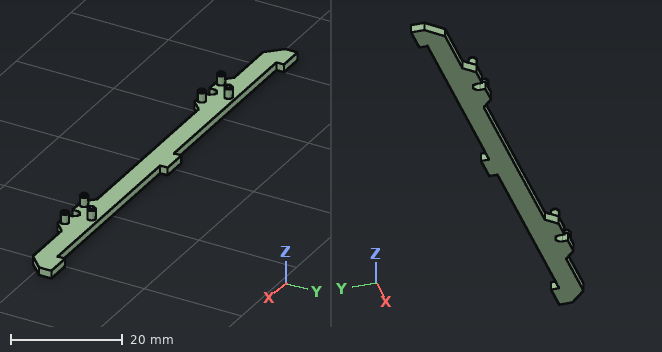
import cadquery as cq
import math

rail_length = 90.0
bar_width = 4.0
plate_thickness = 1.6
end_chamfer = 3.0

tab_length = 5.0
tab_depth = 1.5

foot_offset = 25.0
foot_tip_length = 9.0
foot_depth = 2.0
foot_root_length = foot_tip_length + 2 * foot_depth
notch_width = 2.0
notch_depth = foot_depth

pin_diameter = 1.5
shank_height = 1.9
neck_diameter = 1.0
neck_height = 0.29
dome_height = 0.25
pin_spacing = 3.5
front_pin_inset = 1.0

foot_front = 0.0
bar_front = foot_front + foot_depth
bar_back = bar_front + bar_width
tab_back = bar_back + tab_depth
front_pin_y = foot_front + front_pin_inset
back_pin_y = front_pin_y + pin_spacing


def make_bar():
    """Full-length bar with its two front corners cut at 45 degrees."""
    half_length = rail_length / 2
    outline = [
        (-half_length, bar_back),
        (-half_length, bar_front + end_chamfer),
        (-half_length + end_chamfer, bar_front),
        (half_length - end_chamfer, bar_front),
        (half_length, bar_front + end_chamfer),
        (half_length, bar_back),
    ]
    return cq.Workplane("XY").polyline(outline).close().extrude(plate_thickness)


def make_tab(center_x):
    """Rectangular tab rising from the back edge of the bar."""
    return (
        cq.Workplane("XY")
        .center(center_x, (bar_back + tab_back) / 2)
        .rect(tab_length, tab_depth)
        .extrude(plate_thickness)
    )


def make_foot(center_x):
    """Tapered foot reaching forward from the front edge of the bar."""
    outline = [
        (center_x - foot_root_length / 2, bar_front),
        (center_x - foot_tip_length / 2, foot_front),
        (center_x + foot_tip_length / 2, foot_front),
        (center_x + foot_root_length / 2, bar_front),
    ]
    return cq.Workplane("XY").polyline(outline).close().extrude(plate_thickness)


def make_notch(center_x):
    """Cutter for the notch: straight sides closed by a half circle."""
    half_width = notch_width / 2
    notch_end = foot_front + notch_depth
    return (
        cq.Workplane("XY")
        .moveTo(center_x - half_width, foot_front)
        .lineTo(center_x - half_width, notch_end - half_width)
        .threePointArc((center_x, notch_end), (center_x + half_width, notch_end - half_width))
        .lineTo(center_x + half_width, foot_front)
        .close()
        .extrude(plate_thickness)
    )


def make_rail():
    """Bar, tabs and notched feet as one solid."""
    end_tab_x = (rail_length - tab_length) / 2
    rail = make_bar()
    for tab_x in (-end_tab_x, 0, end_tab_x):
        rail = rail.union(make_tab(tab_x))
    for foot_x in (-foot_offset, foot_offset):
        rail = rail.union(make_foot(foot_x)).cut(make_notch(foot_x))
    return rail


def make_pin(x, y):
    """Round pin standing on the rail: a shank, stepped down to a short neck with a domed end."""
    shank_radius = pin_diameter / 2
    neck_radius = neck_diameter / 2
    neck_top = shank_height + neck_height
    dome_top = neck_top + dome_height

    dome_radius = (neck_radius**2 + dome_height**2) / (2 * dome_height)
    arc_mid_r = neck_radius / 2
    arc_mid_z = dome_top - dome_radius + math.sqrt(dome_radius**2 - arc_mid_r**2)

    return (
        cq.Workplane("XZ", origin=(x, y, plate_thickness))
        .lineTo(shank_radius, 0)
        .lineTo(shank_radius, shank_height)
        .lineTo(neck_radius, shank_height)
        .lineTo(neck_radius, neck_top)
        .threePointArc((arc_mid_r, arc_mid_z), (0, dome_top))
        .close()
        .revolve(360, (0, 0, 0), (0, 1, 0))
    )


rail = make_rail()

pins = []
for foot_x in (-foot_offset, foot_offset):
    pins.append(make_pin(foot_x, back_pin_y))
    for side in (-1, 1):
        pins.append(make_pin(foot_x + side * pin_spacing, front_pin_y))

result = cq.Compound.makeCompound([rail.val(), *[pin.val() for pin in pins]])